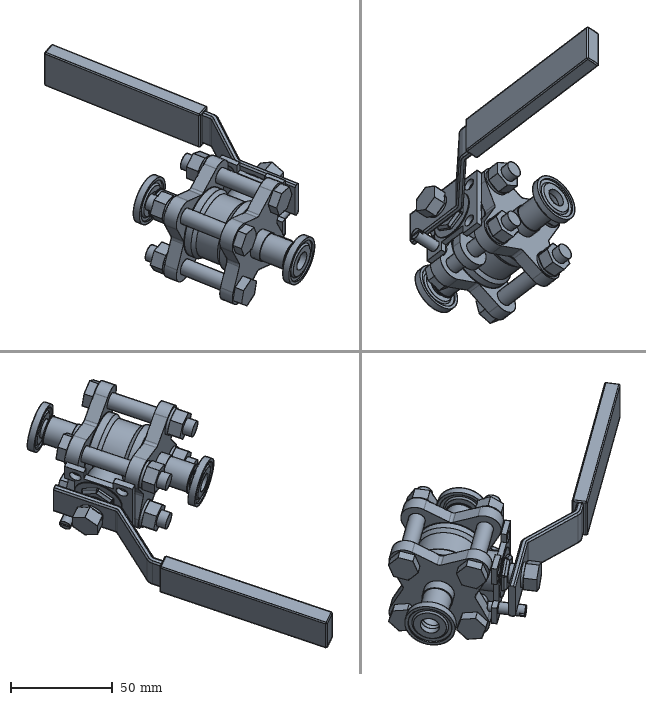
import cadquery as cq
import math


BORE_DIA = 9.5
PIPE_HALF_LENGTH = 44.5
FERRULE_DIA = 25.0
FERRULE_THICKNESS = 3.5
FERRULE_GROOVE_OUTER_DIA = 21.9
FERRULE_GROOVE_FLOOR_DIA = 18.3
FERRULE_GROOVE_INNER_DIA = 16.5
FERRULE_GROOVE_DEPTH = 0.9
NECK_DIA = 10.0
PIPE_DIA = 14.3
PIPE_END = 38.5
PIPE_COLLAR_LENGTH = 0.5
SOCKET_DIA = 15.2
SOCKET_END = 24.7

PLATE_INNER = 12.4
PLATE_THICKNESS = 7.2
PLATE_OUTER = PLATE_INNER + PLATE_THICKNESS
BOLT_OFFSET = 17.0
LOBE_RADIUS = 8.0
WAIST_APEX = 17.7
WAIST_FILLET = 2.3

BODY_DIA = 33.3
RING_DIA = 36.4
SEAT_DIA = 35.6
BODY_HALF_LENGTH = 6.1
RING_START = 8.0
RING_END = 12.0

BOLT_DIA = 8.5
BOLT_TIP = -32.5
HEX_FLATS = 13.0
HEAD_HEIGHT = 4.8
NUT_THICKNESS = 6.6
WASHER_DIA = 14.2
WASHER_THICKNESS = 1.5
BOLTS = [
    (-1, 1, 0, -10),
    (1, 1, 30, -10),
    (-1, -1, 0, 14),
    (1, -1, 0, 14),
]

EAR_THICKNESS = 5.0
EAR_RADIUS = 8.6

STEM_Z = 0.7
BOSS_DIA = 19.9
STOP_PLATE_BASE = 25.8
STOP_PLATE_THICKNESS = 2.9
STOP_PLATE_TOP = STOP_PLATE_BASE + STOP_PLATE_THICKNESS
STOP_PLATE_SIDE = 36.2
STOP_PLATE_NOTCH_WIDTH = 15.5
STOP_PLATE_NOTCH_DEPTH = 5.4
STOP_PLATE_HOLE_OFFSET = 12.4
STOP_PLATE_HOLE_DIA = 6.1
SPRING_DIA = 25.0
SPRING_THICKNESS = 0.5
GLAND_FLATS = 16.8
GLAND_TOP = 31.7
GLAND_TOP_CHAMFER = 1.3
GLAND_CORNER_CHAMFER = 0.45
STEM_DIA = 10.0
STEM_NUT_FLATS = 13.3
STEM_NUT_FACE_DIA = 12.7
STEM_NUT_FACE_HEIGHT = 1.5
STEM_NUT_TOP = 46.4

PIN_X = STOP_PLATE_HOLE_OFFSET
PIN_Z = STEM_Z - STOP_PLATE_HOLE_OFFSET
PIN_DIA = 6.0
PIN_TOP = 42.0
PIN_TAIL_DIA = 5.0
PIN_TAIL_END = 23.1
PIN_SLOT_WIDTH = 1.0
PIN_SLOT_DEPTH = 2.5

STRIP_THICKNESS = 3.4
STRIP_WIDTH = 20.0
STRIP_BASE = 34.8
STRIP_END = 20.0
STRIP_BEND_LOW = -14.7
STRIP_BEND_HIGH = -40.7
STRIP_LEVEL_HIGH = 56.6
STRIP_BEVEL = 0.9
STRIP_INNER_BEND_RADIUS = 1.8
STRIP_GRIP_OVERLAP = 1.8
GRIP_START = -134.7
GRIP_END = -45.9
GRIP_BASE = 54.3
GRIP_TOP = 62.0
GRIP_WIDTH = 22.2
GRIP_EDGE = 0.63


def x_cylinder(dia, start, end, y=0, z=0):
    return cq.Workplane("YZ", origin=(start, y, z)).circle(dia / 2).extrude(end - start)


def x_hexagon(flats, start, end, y, z, turn):
    corner_dia = flats / math.cos(math.pi / 6)
    hexagon = cq.Workplane("YZ", origin=(start, y, z)).polygon(6, corner_dia).extrude(end - start)
    return hexagon.rotate((0, y, z), (1, y, z), turn)


def y_plane(y, x=0, z=STEM_Z):
    """Work plane facing +Y, with X as its first direction and -Z as its second."""
    return cq.Workplane(cq.Plane(origin=(x, y, z), xDir=(1, 0, 0), normal=(0, 1, 0)))


def y_cylinder(dia, start, end, x=0, z=STEM_Z):
    return y_plane(start, x, z).circle(dia / 2).extrude(end - start)


def y_hexagon(flats, start, end):
    """Hexagon on the stem axis with corners at +Z and -Z."""
    corner_dia = flats / math.cos(math.pi / 6)
    return y_plane(start).transformed(rotate=(0, 0, 90)).polygon(6, corner_dia).extrude(end - start)


def ring_groove(x, inward):
    """Ring groove with a straight outer wall and a sloped inner wall,
    sunk from the plane at x; inward is its direction along X.
    """
    outer = FERRULE_GROOVE_OUTER_DIA / 2
    inner = FERRULE_GROOVE_INNER_DIA / 2
    floor = x + inward * FERRULE_GROOVE_DEPTH
    profile = [(x, inner), (floor, FERRULE_GROOVE_FLOOR_DIA / 2), (floor, outer), (x, outer)]
    return cq.Workplane("XY").polyline(profile).close().revolve(360, (0, 0, 0), (1, 0, 0))


def pipe_end():
    """Ferrule, neck, collared pipe and socket on the +X side."""
    face = PIPE_HALF_LENGTH
    back = face - FERRULE_THICKNESS
    end = x_cylinder(FERRULE_DIA, back, face)
    end = end.cut(ring_groove(face, -1)).cut(ring_groove(back, 1))
    end = end.union(x_cylinder(NECK_DIA, PIPE_END, back))
    end = end.union(x_cylinder(PIPE_DIA, SOCKET_END, PIPE_END))
    end = end.union(x_cylinder(SOCKET_DIA, PIPE_END - PIPE_COLLAR_LENGTH, PIPE_END))
    return end.union(x_cylinder(SOCKET_DIA, PLATE_OUTER, SOCKET_END))


def clamp_plate(start):
    """Four lobes joined by straight flanks that meet at a rounded waist."""
    reach = math.hypot(BOLT_OFFSET, WAIST_APEX - BOLT_OFFSET)
    tangent_angle = math.acos(LOBE_RADIUS / reach) - math.atan2(BOLT_OFFSET, WAIST_APEX - BOLT_OFFSET)
    along = BOLT_OFFSET + LOBE_RADIUS * math.cos(tangent_angle)
    across = BOLT_OFFSET + LOBE_RADIUS * math.sin(tangent_angle)
    tip = BOLT_OFFSET + LOBE_RADIUS * math.sqrt(0.5)

    outline = cq.Workplane("YZ", origin=(start, 0, 0)).moveTo(WAIST_APEX, 0)
    for quarter in range(4):
        turn = quarter * math.pi / 2

        def turned(y, z):
            return (
                y * math.cos(turn) - z * math.sin(turn),
                y * math.sin(turn) + z * math.cos(turn),
            )

        outline = outline.lineTo(*turned(along, across))
        outline = outline.threePointArc(turned(tip, tip), turned(across, along))
        if quarter < 3:
            outline = outline.lineTo(*turned(0, WAIST_APEX))
    plate = outline.close().extrude(PLATE_THICKNESS)
    for y, z in [(WAIST_APEX, 0), (0, WAIST_APEX), (-WAIST_APEX, 0), (0, -WAIST_APEX)]:
        waist_edge = cq.NearestToPointSelector((start + PLATE_THICKNESS / 2, y, z))
        plate = plate.edges("|X").edges(waist_edge).fillet(WAIST_FILLET)
    return plate


def body():
    """Turned centre body: a waist between two raised rings, with seats at the plates."""
    half_profile = [
        (0, 0),
        (0, BODY_DIA / 2),
        (BODY_HALF_LENGTH, BODY_DIA / 2),
        (RING_START, RING_DIA / 2),
        (RING_END, RING_DIA / 2),
        (RING_END, SEAT_DIA / 2),
        (PLATE_INNER, SEAT_DIA / 2),
        (PLATE_INNER, 0),
    ]
    half = cq.Workplane("XY").polyline(half_profile).close().revolve(360, (0, 0, 0), (1, 0, 0))
    return half.union(half.mirror("YZ"))


def ear():
    """Lug between the clamp plates that reaches from the boss around the back lower bolt."""
    start = -EAR_THICKNESS / 2
    lug = x_cylinder(2 * EAR_RADIUS, start, -start, BOLT_OFFSET, -BOLT_OFFSET)
    web = cq.Workplane("XY").box(EAR_THICKNESS, 2 * EAR_RADIUS, BOLT_OFFSET)
    return lug.union(web.translate((0, BOLT_OFFSET, -BOLT_OFFSET / 2)))


def bolt(y_side, z_side, nut_turn, head_turn):
    y = y_side * BOLT_OFFSET
    z = z_side * BOLT_OFFSET
    washer_face = -PLATE_OUTER - WASHER_THICKNESS
    assembly = x_cylinder(BOLT_DIA, BOLT_TIP, PLATE_OUTER, y, z)
    assembly = assembly.union(x_cylinder(WASHER_DIA, washer_face, -PLATE_OUTER, y, z))
    nut = x_hexagon(HEX_FLATS, washer_face - NUT_THICKNESS, washer_face, y, z, nut_turn)
    head = x_hexagon(HEX_FLATS, PLATE_OUTER, PLATE_OUTER + HEAD_HEIGHT, y, z, head_turn)
    return assembly.union(nut).union(head)


def stop_plate():
    """Square plate with wide notches in three edges and screw holes near three corners."""
    half = STOP_PLATE_SIDE / 2
    plate = y_plane(STOP_PLATE_BASE).rect(2 * half, 2 * half).extrude(STOP_PLATE_THICKNESS)
    offset = STOP_PLATE_HOLE_OFFSET
    middle_y = STOP_PLATE_BASE + STOP_PLATE_THICKNESS / 2
    notch_long = STOP_PLATE_NOTCH_WIDTH
    notch_short = 2 * STOP_PLATE_NOTCH_DEPTH
    for x, z in [(-offset, -offset), (-offset, offset), (offset, offset)]:
        hole = y_cylinder(STOP_PLATE_HOLE_DIA, STOP_PLATE_BASE, STOP_PLATE_TOP, x, z + STEM_Z)
        plate = plate.cut(hole)
    for x, z, width, height in [
        (0, half, notch_long, notch_short),
        (0, -half, notch_long, notch_short),
        (half, 0, notch_short, notch_long),
    ]:
        notch = cq.Workplane("XY").box(width, STOP_PLATE_THICKNESS, height)
        plate = plate.cut(notch.translate((x, middle_y, z + STEM_Z)))
    return plate


def stem():
    """Boss, spring washer, chamfered gland nut, stem and stem nut."""
    spring_top = STOP_PLATE_TOP + SPRING_THICKNESS
    strip_top = STRIP_BASE + STRIP_THICKNESS
    nut_start = strip_top + STEM_NUT_FACE_HEIGHT
    stack = y_cylinder(BOSS_DIA, 0, STOP_PLATE_BASE)
    stack = stack.union(y_cylinder(SPRING_DIA, STOP_PLATE_TOP, spring_top))
    gland = y_hexagon(GLAND_FLATS, spring_top, GLAND_TOP).edges("|Y").chamfer(GLAND_CORNER_CHAMFER)
    stack = stack.union(gland.faces(">Y").chamfer(GLAND_TOP_CHAMFER))
    stack = stack.union(y_cylinder(STEM_DIA, STOP_PLATE_BASE, strip_top))
    stack = stack.union(y_cylinder(STEM_NUT_FACE_DIA, strip_top, nut_start))
    return stack.union(y_hexagon(STEM_NUT_FLATS, nut_start, STEM_NUT_TOP))


def stop_pin():
    """Pin with a screwdriver slot across its top and a thinner tail under the stop plate."""
    pin = y_cylinder(PIN_DIA, STOP_PLATE_TOP, PIN_TOP, PIN_X, PIN_Z)
    slot = cq.Workplane("XY").box(PIN_DIA, 2 * PIN_SLOT_DEPTH, PIN_SLOT_WIDTH)
    pin = pin.cut(slot.translate((PIN_X, PIN_TOP, PIN_Z)))
    return pin.union(y_cylinder(PIN_TAIL_DIA, PIN_TAIL_END, STOP_PLATE_TOP, PIN_X, PIN_Z))


def handle():
    """Strip cranked between two levels, with a thick grip over its outer end."""
    rise = STRIP_LEVEL_HIGH - STRIP_BASE
    run = STRIP_BEND_LOW - STRIP_BEND_HIGH
    mitre_shift = STRIP_THICKNESS * math.tan(math.atan2(rise, run) / 2)
    socket_start = GRIP_END - STRIP_GRIP_OVERLAP
    lower_side = [
        (socket_start, STRIP_LEVEL_HIGH),
        (STRIP_BEND_HIGH, STRIP_LEVEL_HIGH),
        (STRIP_BEND_LOW, STRIP_BASE),
        (STRIP_END, STRIP_BASE),
    ]
    upper_side = [
        (STRIP_END, STRIP_BASE + STRIP_THICKNESS),
        (STRIP_BEND_LOW + mitre_shift, STRIP_BASE + STRIP_THICKNESS),
        (STRIP_BEND_HIGH + mitre_shift, STRIP_LEVEL_HIGH + STRIP_THICKNESS),
        (socket_start, STRIP_LEVEL_HIGH + STRIP_THICKNESS),
    ]
    strip = (
        cq.Workplane("XY", origin=(0, 0, STEM_Z - STRIP_WIDTH / 2))
        .polyline(lower_side + upper_side)
        .close()
        .extrude(STRIP_WIDTH)
    )
    outer_bend_radius = STRIP_INNER_BEND_RADIUS + STRIP_THICKNESS
    for corner, radius in [
        (lower_side[1], STRIP_INNER_BEND_RADIUS),
        (lower_side[2], outer_bend_radius),
        (upper_side[1], STRIP_INNER_BEND_RADIUS),
        (upper_side[2], outer_bend_radius),
    ]:
        bend_edge = cq.NearestToPointSelector((*corner, STEM_Z))
        strip = strip.edges("|Z").edges(bend_edge).fillet(radius)
    for side in (-1, 1):
        for level in (STRIP_BASE, STRIP_BASE + STRIP_THICKNESS):
            long_edge = cq.NearestToPointSelector((0, level, STEM_Z + side * STRIP_WIDTH / 2))
            strip = strip.edges(long_edge).chamfer(STRIP_BEVEL)
    grip = cq.Workplane("XY").box(GRIP_END - GRIP_START, GRIP_TOP - GRIP_BASE, GRIP_WIDTH)
    grip = grip.edges().chamfer(GRIP_EDGE)
    grip_centre = ((GRIP_START + GRIP_END) / 2, (GRIP_BASE + GRIP_TOP) / 2, STEM_Z)
    return strip.union(grip.translate(grip_centre))


valve = body()
for plate_start in (-PLATE_OUTER, PLATE_INNER):
    valve = valve.union(clamp_plate(plate_start))
valve = valve.union(pipe_end()).union(pipe_end().mirror("YZ"))
for bolt_settings in BOLTS:
    valve = valve.union(bolt(*bolt_settings))
valve = valve.union(ear()).union(stop_plate()).union(stem()).union(stop_pin()).union(handle())
result = valve.cut(x_cylinder(BORE_DIA, -PIPE_HALF_LENGTH, PIPE_HALF_LENGTH))